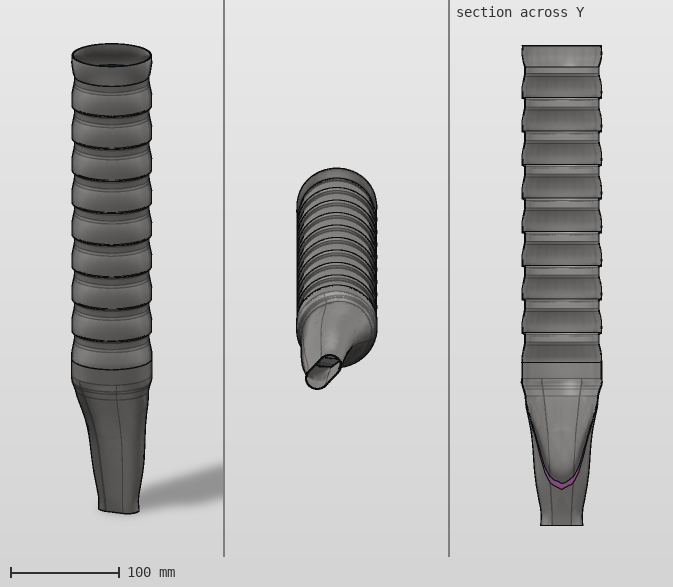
import cadquery as cq
import math

total_height = 442.0
wall = 1.0
tube_radius = 37.0
joint_z = 150.2

rib_count = 8
pitch = 31.0
top_ledge_z = 424.0
groove_radius = 34.5
groove_fillet = 2.0
groove_depth = 8.0
bulge_start_depth = 10.5
bulge_start_radius = 35.0
crest_depth = 24.7
bulge_curve_radius = 41.0
cuff_crest_drop = 7.0

band_bottom_z = 135.0
spout_back_y = 32.0
collar_swell = 0.2
mouth_half_width = 19.5
mouth_back_y = 27.5
mouth_front_y = 5.5
mouth_seam_x = 9.0
mouth_sagitta = 0.2
band_seam_x = tube_radius / 2
band_sagitta = tube_radius - math.sqrt(tube_radius**2 - band_seam_x**2)

collar_sections = [
    (band_bottom_z, tube_radius, tube_radius, -tube_radius, band_seam_x),
    (131.5, tube_radius + collar_swell, 36.5, -36.5, band_seam_x),
    (128.5, 36.5, 35.0, -36.0, 18.0),
]
neck_sections = [
    collar_sections[-1],
    (126.0, 36.0, 33.5, -34.5, 17.5),
    (119.5, 34.0, spout_back_y, -31.0, 17.0),
]
spout_sections = [
    neck_sections[-1],
    (108.2, 32.5, spout_back_y, -24.7, 15.5),
    (96.0, 30.0, spout_back_y, -17.5, 14.0),
    (69.5, 26.5, spout_back_y, -7.0, 12.5),
    (42.5, 24.5, 30.5, -1.55, 11.0),
    (0.0, mouth_half_width, mouth_back_y, mouth_front_y, mouth_seam_x),
]


def bulge_radius(distance_from_crest):
    """Outer radius of a rib at an axial distance from its crest."""
    drop = bulge_curve_radius - math.sqrt(bulge_curve_radius**2 - distance_from_crest**2)
    return tube_radius - drop


def groove_and_flare(profile, ledge_z, inset):
    """Straight groove below a ledge, then the flare up to the start of the next bulge."""
    return (
        profile
        .lineTo(groove_radius - inset, ledge_z - groove_depth)
        .lineTo(bulge_start_radius - inset, ledge_z - bulge_start_depth)
    )


def bulge_and_ledge(profile, ledge_z, inset):
    """Rib bulge below a groove, ending in the next ledge and its concave corner."""
    crest_z = ledge_z - crest_depth
    next_ledge_z = ledge_z - pitch + inset
    ledge_radius = bulge_radius(pitch - crest_depth)
    corner_z = next_ledge_z - groove_fillet
    arc_middle = groove_fillet * (1 - math.sqrt(0.5))
    return (
        profile
        .threePointArc((tube_radius - inset, crest_z), (ledge_radius - inset, next_ledge_z))
        .lineTo(groove_radius + groove_fillet - inset, next_ledge_z)
        .threePointArc(
            (groove_radius + arc_middle - inset, next_ledge_z - arc_middle),
            (groove_radius - inset, corner_z),
        )
    )


def hose_core(inset):
    """Solid of revolution inside the hose skin moved inward by inset."""
    cuff_crest_z = total_height - cuff_crest_drop
    profile = (
        cq.Workplane("XZ")
        .moveTo(0, total_height)
        .lineTo(bulge_radius(cuff_crest_drop) - inset, total_height)
        .threePointArc(
            (tube_radius - inset, cuff_crest_z),
            (groove_radius - inset, top_ledge_z - groove_fillet),
        )
    )
    for i in range(rib_count):
        ledge_z = top_ledge_z - i * pitch
        profile = groove_and_flare(profile, ledge_z, inset)
        profile = bulge_and_ledge(profile, ledge_z, inset)

    last_ledge_z = top_ledge_z - rib_count * pitch
    last_crest_z = last_ledge_z - crest_depth
    profile = groove_and_flare(profile, last_ledge_z, inset)
    profile = (
        profile
        .threePointArc(
            (tube_radius - inset, last_crest_z),
            (bulge_radius(last_crest_z - joint_z) - inset, joint_z),
        )
        .lineTo(0, joint_z)
        .close()
    )
    return profile.revolve(360, (0, 0), (0, 1))


def make_hose():
    return hose_core(0).cut(hose_core(wall)).solids()


def section_wire(section, inset):
    """Closed outline of four arcs: front, right side, back and left side."""
    z, half_width, back_y, front_y, seam_x = section
    scale = 1 - inset / half_width
    flatness = (seam_x - mouth_seam_x) / (band_seam_x - mouth_seam_x)
    sagitta = scale * (mouth_sagitta + flatness * (band_sagitta - mouth_sagitta))
    corner_x = scale * seam_x
    side_x = half_width - inset
    back = back_y - inset
    front = front_y + inset
    middle_y = (back + front) / 2
    outline = (
        cq.Workplane("XY", origin=(0, 0, z))
        .moveTo(-corner_x, front + sagitta)
        .threePointArc((0, front), (corner_x, front + sagitta))
        .threePointArc((side_x, middle_y), (corner_x, back - sagitta))
        .threePointArc((0, back), (-corner_x, back - sagitta))
        .threePointArc((-side_x, middle_y), (-corner_x, front + sagitta))
        .close()
    )
    return outline.val()


def loft(sections, inset, ruled=False):
    wires = [section_wire(section, inset) for section in sections]
    return cq.Workplane(cq.Solid.makeLoft(wires, ruled))


def nozzle_core(inset):
    """Solid inside the nozzle skin moved inward by inset."""
    band = (
        cq.Workplane("XY", origin=(0, 0, band_bottom_z))
        .circle(tube_radius - inset)
        .extrude(joint_z - band_bottom_z)
    )
    collar = loft(collar_sections, inset)
    neck = loft(neck_sections, inset, ruled=True)
    spout = loft(spout_sections, inset)
    return band.union(collar).union(neck).union(spout)


def make_nozzle():
    return nozzle_core(0).cut(nozzle_core(wall)).solids()


hose = make_hose()
nozzle = make_nozzle()

result = cq.Compound.makeCompound([hose.val(), nozzle.val()])